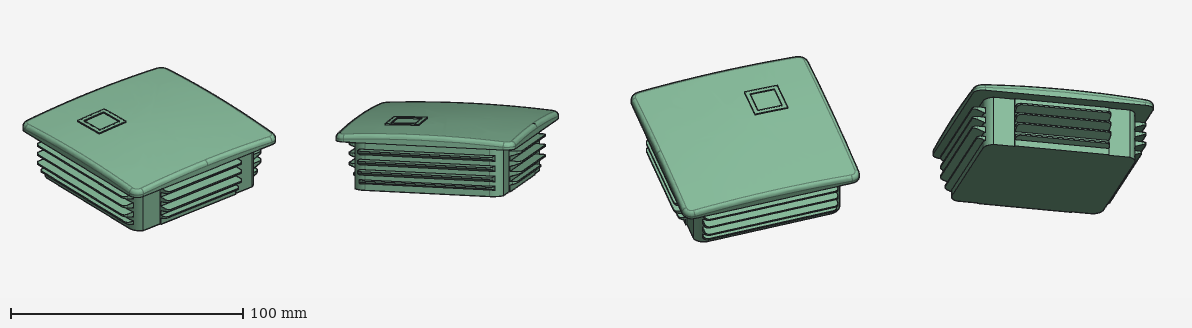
import cadquery as cq
import math

cap_side = 80.0
cap_underside = 22.0
cap_corner_radius = 4.4
cap_edge_fillet = 2.0
dome_top = 28.0
dome_radius = 500.0

plug_side = 67.4
plug_corner_radius = 5.9
panel_recess = 0.6
recess_inner_y = 20.9
plug_half = plug_side / 2
panel_x = plug_half - panel_recess
corner_center = plug_half - plug_corner_radius
recess_outer_y = corner_center + math.sqrt(plug_corner_radius**2 - (panel_x - corner_center)**2)

rib_pitch = 4.5
rib_count = 4
top_rib_z = 18.1
rib_reach = 38.6
lowest_rib_reach = 36.6
rib_tip_thickness = 0.6
rib_slope = math.tan(math.radians(20))
rib_corner_radius = 2.0
rib_length_x_faces = 2 * recess_inner_y
rib_length_y_faces = 60.2
rib_root = plug_half - plug_corner_radius / 2

frame_side = 15.0
frame_wall = 2.0
frame_center = (-14.2, -14.8)
frame_height = 0.5


def dome_ball(height):
    """Sphere whose highest point lies on the Z axis at the given height."""
    return cq.Workplane("XY").sphere(dome_radius).translate((0, 0, height - dome_radius))


def make_cap():
    block = (
        cq.Workplane("XY")
        .workplane(offset=cap_underside)
        .rect(cap_side, cap_side)
        .extrude(dome_top - cap_underside)
        .edges("|Z")
        .fillet(cap_corner_radius)
    )
    return block.intersect(dome_ball(dome_top)).faces(">Z").edges().fillet(cap_edge_fillet)


def make_plug():
    plug = (
        cq.Workplane("XY")
        .rect(plug_side, plug_side)
        .extrude(cap_underside)
        .edges("|Z")
        .fillet(plug_corner_radius)
    )
    strip_x = plug_half - panel_recess / 2
    strip_y = (recess_inner_y + recess_outer_y) / 2
    strips = (
        cq.Workplane("XY")
        .rect(2 * strip_x, 2 * strip_y, forConstruction=True)
        .vertices()
        .rect(panel_recess, recess_outer_y - recess_inner_y)
        .extrude(cap_underside)
    )
    return plug.cut(strips)


def make_rib(length, reach, top_z):
    """Rib on the +X face: flat on top, tapering below, rounded at its outer corners."""
    tip_z = top_z - rib_tip_thickness
    root_z = tip_z - (reach - rib_root) * rib_slope
    profile = [(rib_root, top_z), (reach, top_z), (reach, tip_z), (rib_root, root_z)]
    return (
        cq.Workplane("XZ")
        .polyline(profile)
        .close()
        .extrude(length / 2, both=True)
        .edges("|Z and >X")
        .fillet(rib_corner_radius)
    )


def make_frame():
    inner_side = frame_side - 2 * frame_wall
    frame = (
        cq.Workplane("XY")
        .workplane(offset=cap_underside)
        .center(*frame_center)
        .rect(frame_side, frame_side)
        .rect(inner_side, inner_side)
        .extrude(dome_top + frame_height - cap_underside)
    )
    return frame.intersect(dome_ball(dome_top + frame_height))


result = make_plug().union(make_cap())

for level in range(rib_count):
    is_lowest = level == rib_count - 1
    reach = lowest_rib_reach if is_lowest else rib_reach
    top_z = top_rib_z - level * rib_pitch
    for angle in (0, 90, 180, 270):
        length = rib_length_x_faces if angle % 180 == 0 else rib_length_y_faces
        rib = make_rib(length, reach, top_z)
        result = result.union(rib.rotate((0, 0, 0), (0, 0, 1), angle))

result = result.union(make_frame())